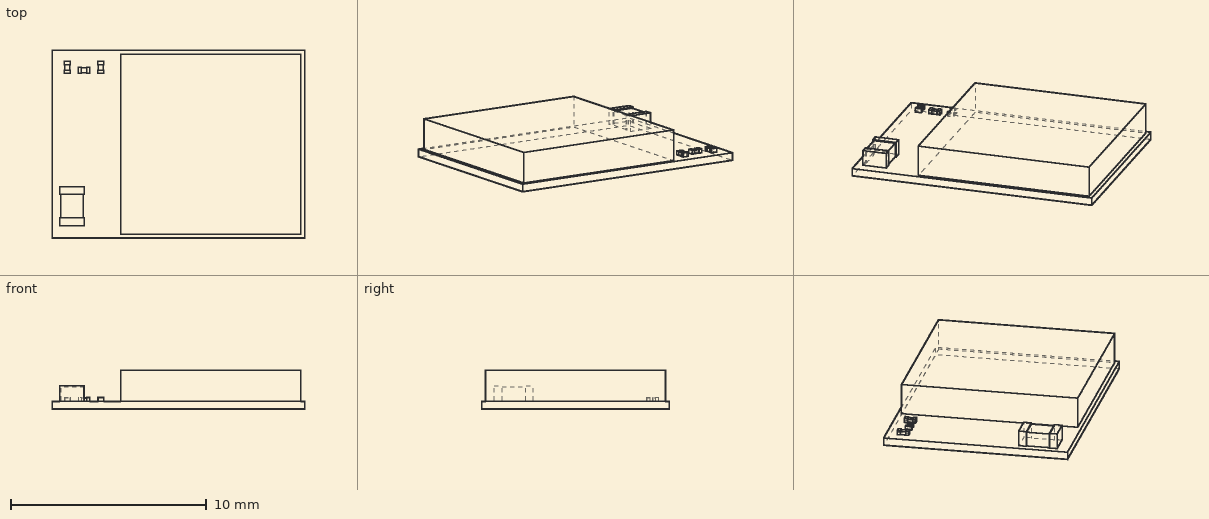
import cadquery as cq

board_length = 12.9
board_width = 9.6
board_thickness = 0.4

shield_side = 9.2
shield_height = 1.6
shield_left = 3.5

large_chip_size = (2.0, 1.25, 0.8)
large_cap_length = 0.4
large_body_inset = 0.05
large_chip_center = (1.0, 1.63)

small_chip_size = (0.59, 0.31, 0.2)
small_cap_length = 0.15
small_body_inset = 0.03
small_chip_pitch = 0.86
middle_chip_center = (1.63, 8.58)
outer_chip_offset_y = 0.14


def block_on_board(length, width, height, center):
    """Rectangular block standing on the top face of the board."""
    return (
        cq.Workplane("XY")
        .box(length, width, height, centered=(True, True, False))
        .translate((center[0], center[1], board_thickness))
    )


def chip(size, cap_length, body_inset, center, along_y):
    """Chip with two end caps standing slightly proud of the body's sides and top."""
    length, width, height = size
    body_width = width - 2 * body_inset
    body_height = height - body_inset
    body = block_on_board(length, body_width, body_height, (0, 0))
    cap_offset = (length - cap_length) / 2
    for side in (-1, 1):
        cap = block_on_board(cap_length, width, height, (side * cap_offset, 0))
        body = body.union(cap)
    if along_y:
        body = body.rotate((0, 0, 0), (0, 0, 1), 90)
    return body.translate((center[0], center[1], 0))


board = cq.Workplane("XY").box(board_length, board_width, board_thickness, centered=False)
shield_center = (shield_left + shield_side / 2, board_width / 2)
shield = block_on_board(shield_side, shield_side, shield_height, shield_center)
result = board.union(shield)

result = result.union(
    chip(large_chip_size, large_cap_length, large_body_inset, large_chip_center, along_y=True)
)

for position in (-1, 0, 1):
    is_outer = position != 0
    center_x = middle_chip_center[0] + position * small_chip_pitch
    center_y = middle_chip_center[1] + (outer_chip_offset_y if is_outer else 0)
    result = result.union(
        chip(small_chip_size, small_cap_length, small_body_inset, (center_x, center_y), along_y=is_outer)
    )